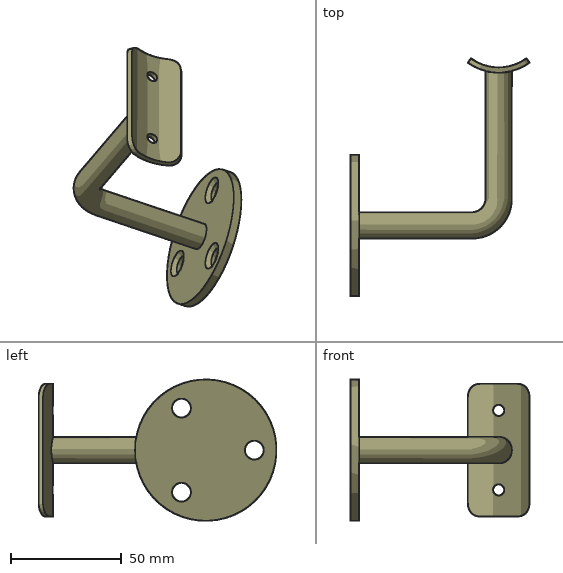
import cadquery as cq
import math

flange_diameter = 64.0
flange_thickness = 4.0
flange_hole_diameter = 8.4
countersink_diameter = 12.3
countersink_depth = (countersink_diameter - flange_hole_diameter) / 2
flange_hole_circle_radius = 22.0
flange_hole_count = 3

rod_diameter = 12.0
bend_radius = rod_diameter

saddle_length = 60.0
saddle_width = 28.0
saddle_inner_radius = 21.2
saddle_thickness = 2.5
saddle_corner_radius = 6.0
saddle_hole_diameter = 5.0
saddle_hole_offset = 18.0

overall_x = 81.0
overall_y = 107.6

saddle_outer_radius = saddle_inner_radius + saddle_thickness
saddle_half_angle = math.asin(saddle_width / 2 / saddle_outer_radius)
saddle_x = overall_x - saddle_width / 2
saddle_tip_y = overall_y - flange_diameter / 2
handrail_y = saddle_tip_y + saddle_inner_radius * math.cos(saddle_half_angle)


def saddle_point(radius, angle):
    """Point at the given radius, with the angle measured from -Y about the handrail axis."""
    return (
        saddle_x + radius * math.sin(angle),
        handrail_y - radius * math.cos(angle),
    )


def make_countersunk_hole():
    """Solid that cuts one flange hole, centred on the X axis and widening towards +X."""
    hole_radius = flange_hole_diameter / 2
    countersink_start = flange_thickness - countersink_depth
    return (
        cq.Workplane("XY")
        .lineTo(0, hole_radius)
        .lineTo(countersink_start, hole_radius)
        .lineTo(flange_thickness, countersink_diameter / 2)
        .lineTo(flange_thickness, 0)
        .close()
        .revolve(360, (0, 0, 0), (1, 0, 0))
    )


def make_flange():
    flange = cq.Workplane("YZ").circle(flange_diameter / 2).extrude(flange_thickness)
    hole = make_countersunk_hole().translate((0, -flange_hole_circle_radius, 0))
    for index in range(flange_hole_count):
        angle = 360 / flange_hole_count * index
        flange = flange.cut(hole.rotate((0, 0, 0), (1, 0, 0), angle))
    return flange


def make_rod():
    bend_start_x = saddle_x - bend_radius
    bend_middle = (
        bend_start_x + bend_radius * math.sin(math.pi / 4),
        bend_radius * (1 - math.cos(math.pi / 4)),
    )
    path = (
        cq.Workplane("XY")
        .moveTo(flange_thickness, 0)
        .lineTo(bend_start_x, 0)
        .threePointArc(bend_middle, (saddle_x, bend_radius))
        .lineTo(saddle_x, handrail_y)
    )
    rod = (
        cq.Workplane("YZ", origin=(flange_thickness, 0, 0))
        .circle(rod_diameter / 2)
        .sweep(path)
    )
    saddle_clearance = (
        cq.Workplane("XY")
        .center(saddle_x, handrail_y)
        .circle(saddle_outer_radius)
        .extrude(saddle_length / 2, both=True)
    )
    return rod.cut(saddle_clearance)


def make_saddle():
    saddle = (
        cq.Workplane("XY")
        .moveTo(*saddle_point(saddle_outer_radius, -saddle_half_angle))
        .threePointArc(
            saddle_point(saddle_outer_radius, 0),
            saddle_point(saddle_outer_radius, saddle_half_angle),
        )
        .lineTo(*saddle_point(saddle_inner_radius, saddle_half_angle))
        .threePointArc(
            saddle_point(saddle_inner_radius, 0),
            saddle_point(saddle_inner_radius, -saddle_half_angle),
        )
        .close()
        .extrude(saddle_length / 2, both=True)
    )
    saddle = saddle.faces("|Z").edges("%LINE").fillet(saddle_corner_radius)

    holes = (
        cq.Workplane("XZ", origin=(0, handrail_y, 0))
        .pushPoints([(saddle_x, -saddle_hole_offset), (saddle_x, saddle_hole_offset)])
        .circle(saddle_hole_diameter / 2)
        .extrude(saddle_outer_radius)
    )
    return saddle.cut(holes)


flange = make_flange()
rod = make_rod()
saddle = make_saddle()

result = cq.Compound.makeCompound([flange.val(), rod.val(), saddle.val()])